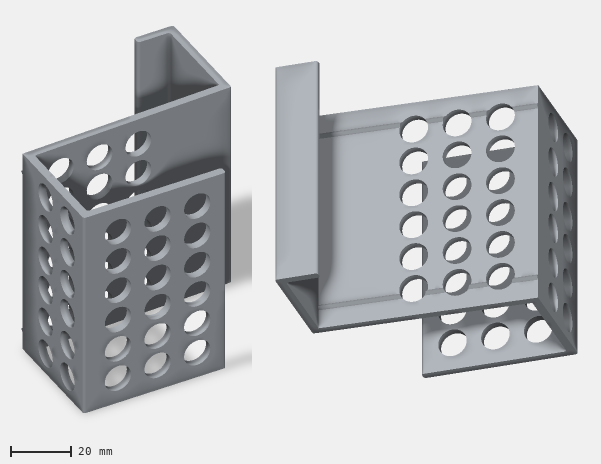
import cadquery as cq
import math

width = 81.65
depth = 79.0
height = 80.0
wall = 3.0

hook_length = 15.0
leg_length = 54.05
back_flange_width = 39.9
web_tilt = 2.0
edge_radius = 1.0
web_corner_radius = 0.5

hole_diameter = 10.0
column_pitch = 15.0
side_first_y = 13.1
side_columns = 3
side_row_pitch = 12.0
side_rows = 6
front_first_x = 55.4
front_columns = 2
front_row_pitch = 13.0
front_middle_gap = 12.0
front_rows_per_half = 3

rib_height = 1.0
rib_half_width = 1.0
rib_inset = 7.75

web_slope = math.tan(math.radians(web_tilt))
web_thickness_x = wall / math.cos(math.radians(web_tilt))


def web_right_x(y):
    """X of the web face that looks toward the tall leg."""
    return back_flange_width + (depth - y) * web_slope


def web_left_x(y):
    """X of the web face that looks toward the hook."""
    return web_right_x(y) - web_thickness_x


def vertical_edge_at(x, y):
    reach = 0.1
    return cq.selectors.BoxSelector(
        (x - reach, y - reach, -0.8), (x + reach, y + reach, height + 0.8)
    )


def make_body():
    hook_tip_y = depth - hook_length
    back_inner_y = depth - wall
    leg_inner_x = width - wall
    hook_corners = [(0, hook_tip_y), (wall, hook_tip_y), (wall, back_inner_y), (0, depth)]
    leg_corners = [(width, 0), (width, leg_length), (leg_inner_x, leg_length), (leg_inner_x, wall)]
    inner_web_corner = (web_right_x(wall), wall)
    outer_web_corner = (web_right_x(depth), depth)
    outline = [
        *hook_corners[:3],
        (web_left_x(back_inner_y), back_inner_y),
        (web_left_x(0), 0),
        *leg_corners,
        inner_web_corner,
        outer_web_corner,
        hook_corners[3],
    ]
    body = cq.Workplane("XY").polyline(outline).close().extrude(height)
    for corner in hook_corners + leg_corners:
        body = body.edges(vertical_edge_at(*corner)).fillet(edge_radius)
    for corner in (inner_web_corner, outer_web_corner):
        body = body.edges(vertical_edge_at(*corner)).fillet(web_corner_radius)
    return body


def make_rib(z):
    """Triangular rib following the tilted web from the front face to the back flange."""
    end_y = depth - wall / 2
    root_depth = wall / 2

    def section(y):
        face_x = web_left_x(y)
        points = [
            (face_x + root_depth, z - rib_half_width),
            (face_x, z - rib_half_width),
            (face_x - rib_height, z),
            (face_x, z + rib_half_width),
            (face_x + root_depth, z + rib_half_width),
        ]
        return cq.Wire.makePolygon([cq.Vector(px, y, pz) for px, pz in points], close=True)

    return cq.Workplane(cq.Solid.makeLoft([section(0), section(end_y)], True))


def side_holes():
    """Drills along X through the web and the tall leg."""
    first_z = (height - (side_rows - 1) * side_row_pitch) / 2
    centers = [
        (side_first_y + column * column_pitch, first_z + row * side_row_pitch)
        for column in range(side_columns)
        for row in range(side_rows)
    ]
    return (
        cq.Workplane("YZ", origin=(wall * 2, 0, 0))
        .pushPoints(centers)
        .circle(hole_diameter / 2)
        .extrude(width)
    )


def front_holes():
    """Drills along Y through the front flange, in two mirrored groups of rows."""
    centers = []
    for column in range(front_columns):
        for row in range(front_rows_per_half):
            offset = front_middle_gap / 2 + row * front_row_pitch
            for side in (-1, 1):
                centers.append((front_first_x + column * column_pitch, height / 2 + side * offset))
    return (
        cq.Workplane("XZ", origin=(0, 2 * wall, 0))
        .pushPoints(centers)
        .circle(hole_diameter / 2)
        .extrude(3 * wall)
    )


result = make_body()
for rib_z in (rib_inset, height - rib_inset):
    result = result.union(make_rib(rib_z))
result = result.cut(side_holes()).cut(front_holes())